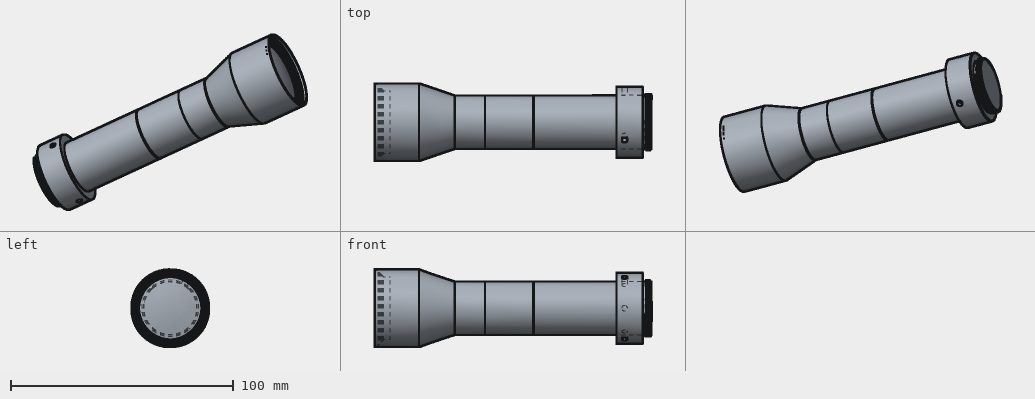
import cadquery as cq
import math

AXIS_START = (0, 0, 0)
AXIS_END = (1, 0, 0)

HEAD_CYLINDER_END = 20.0
HEAD_END = 36.0
FRONT_TUBE_END = 49.6
MIDDLE_TUBE_END = 71.3
RING_START = 108.5
RING_LENGTH = 12.0
RING_END = RING_START + RING_LENGTH
REAR_FACE = 124.2
TOTAL_LENGTH = 124.5

HEAD_RADIUS = 35.0 / 2
TUBE_RADIUS = 24.2 / 2
RING_RADIUS = 32.0 / 2

JOINT_CHAMFER = 0.2
RING_CHAMFER = 0.3

BAFFLE_MOUTH_RADIUS = 16.9
BAFFLE_MOUTH_DEPTH = 1.5
BAFFLE_START_RADIUS = 16.7
BAFFLE_STEPS = 12
BAFFLE_DEPTH = 4.0

LENS_RADIUS = 14.0
LENS_EDGE = 3.0
LENS_DOME_RADIUS = 65.0

HOLE_COUNT = 3
HOLE_DIAMETER = 2.5
HOLE_STATION = RING_START + 3.7

INCH = 25.4
THREAD_RADIUS = INCH / 2
THREAD_PITCH = INCH / 32
THREAD_TURNS = 3.5
THREAD_END_ANGLE = 14.0
RIDGE_HALF_WIDTH = 0.49 * THREAD_PITCH
RIDGE_EMBEDMENT = 0.3
RIDGE_ROOT = TUBE_RADIUS - RIDGE_EMBEDMENT
RIDGE_START = TOTAL_LENGTH - RIDGE_HALF_WIDTH - THREAD_TURNS * THREAD_PITCH


def cylinder(start, end, radius):
    """Round bar along X between two stations."""
    section = cq.Plane(origin=(start, 0, 0), xDir=(0, -1, 0), normal=AXIS_END)
    return cq.Workplane(section).circle(radius).extrude(end - start)


def half_section():
    """Plane for turned outlines: local x is the station, local y the radius towards -Y."""
    return cq.Workplane(cq.Plane(origin=AXIS_START, xDir=AXIS_END, normal=(0, 0, -1)))


def turned(outline):
    """Solid of revolution about X from an open outline that starts and ends on the axis."""
    return outline.close().revolve(360, AXIS_START, AXIS_END)


def make_head():
    """Front bell: cylinder and cone, with a stepped baffle that ends in the lens seat."""
    head = turned(
        half_section()
        .lineTo(0, HEAD_RADIUS)
        .lineTo(HEAD_CYLINDER_END, HEAD_RADIUS)
        .lineTo(HEAD_END - JOINT_CHAMFER, TUBE_RADIUS)
        .lineTo(HEAD_END, TUBE_RADIUS - JOINT_CHAMFER)
        .lineTo(HEAD_END, 0)
    )
    head = head.cut(cylinder(0, BAFFLE_MOUTH_DEPTH, BAFFLE_MOUTH_RADIUS))
    step_height = (BAFFLE_START_RADIUS - LENS_RADIUS) / BAFFLE_STEPS
    step_length = (BAFFLE_DEPTH - BAFFLE_MOUTH_DEPTH) / BAFFLE_STEPS
    for step in range(BAFFLE_STEPS):
        depth = BAFFLE_MOUTH_DEPTH + (step + 1) * step_length
        head = head.cut(cylinder(0, depth, BAFFLE_START_RADIUS - step * step_height))
    return head.cut(cylinder(0, BAFFLE_DEPTH + LENS_EDGE, LENS_RADIUS))


def dome_sagitta(radius):
    """Depth of the lens dome below its tip at a given distance from the axis."""
    return LENS_DOME_RADIUS - math.sqrt(LENS_DOME_RADIUS**2 - radius**2)


def make_front_lens():
    """Lens with a flat back and a domed front, filling its seat in the head."""
    dome_tip = BAFFLE_DEPTH - dome_sagitta(LENS_RADIUS)
    middle_radius = LENS_RADIUS / 2
    dome_middle = (dome_tip + dome_sagitta(middle_radius), middle_radius)
    back = BAFFLE_DEPTH + LENS_EDGE
    return turned(
        half_section()
        .moveTo(dome_tip, 0)
        .threePointArc(dome_middle, (BAFFLE_DEPTH, LENS_RADIUS))
        .lineTo(back, LENS_RADIUS)
        .lineTo(back, 0)
    )


def make_front_tube():
    """Short tube behind the head, chamfered where it meets the head."""
    return cylinder(HEAD_END, FRONT_TUBE_END, TUBE_RADIUS).faces("<X").chamfer(JOINT_CHAMFER)


def make_middle_tube():
    """Tube with a plain front joint and a chamfered rear joint."""
    return cylinder(FRONT_TUBE_END, MIDDLE_TUBE_END, TUBE_RADIUS).faces(">X").chamfer(JOINT_CHAMFER)


def make_thread_ridge():
    """Right-handed helical ridge of triangular section."""
    start = cq.Vector(RIDGE_START, 0, 0)
    helix = cq.Wire.makeHelix(
        THREAD_PITCH, THREAD_TURNS * THREAD_PITCH, RIDGE_ROOT, start, cq.Vector(*AXIS_END)
    )
    section = cq.Workplane("XZ").polyline(
        [
            (RIDGE_START - RIDGE_HALF_WIDTH, RIDGE_ROOT),
            (RIDGE_START, THREAD_RADIUS),
            (RIDGE_START + RIDGE_HALF_WIDTH, RIDGE_ROOT),
        ]
    )
    ridge = section.close().sweep(cq.Workplane(helix), isFrenet=True)
    swept_end_angle = 90 + THREAD_TURNS * 360
    return ridge.rotate(AXIS_START, AXIS_END, THREAD_END_ANGLE - swept_end_angle)


def make_rear_tube():
    """Long rear tube that carries the ring and ends in the mount thread."""
    tube = cylinder(MIDDLE_TUBE_END, REAR_FACE, TUBE_RADIUS).faces("<X").chamfer(JOINT_CHAMFER)
    return tube.union(make_thread_ridge()).solids()


def make_ring():
    """Clamping ring around the rear tube, with radial screw holes that reach the tube."""
    ring = cylinder(RING_START, RING_END, RING_RADIUS).faces(">X").chamfer(RING_CHAMFER)
    hole_plane = cq.Plane(origin=(HOLE_STATION, 0, 0), xDir=AXIS_END, normal=(0, 1, 0))
    hole = cq.Workplane(hole_plane).circle(HOLE_DIAMETER / 2).extrude(RING_RADIUS)
    for index in range(HOLE_COUNT):
        ring = ring.cut(hole.rotate(AXIS_START, AXIS_END, index * 360 / HOLE_COUNT))
    return ring.cut(cylinder(RING_START, RING_END, TUBE_RADIUS))


head = make_head()
front_lens = make_front_lens()
front_tube = make_front_tube()
middle_tube = make_middle_tube()
rear_tube = make_rear_tube()
ring = make_ring()

result = cq.Compound.makeCompound(
    [
        head.val(),
        front_lens.val(),
        front_tube.val(),
        middle_tube.val(),
        rear_tube.val(),
        ring.val(),
    ]
)